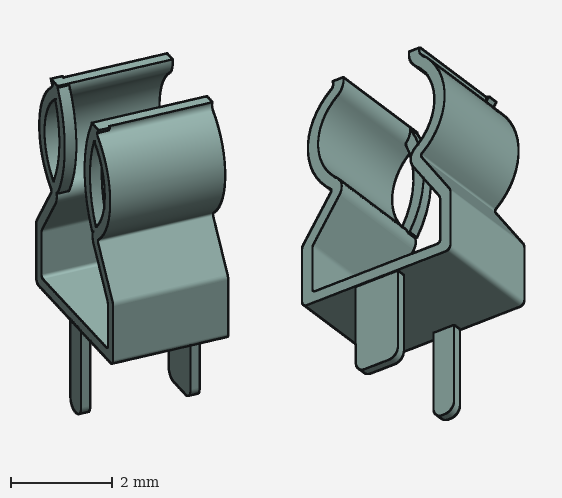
import cadquery as cq
import math

width = 3.6
depth = 2.5
top_z = 5.0
sheet = 0.25
shoulder_z = 1.4
lean = math.radians(34.4)
base_outer_radius = 0.12
base_inner_radius = 0.07
shoulder_radius = 0.175

spring_x = 0.18
spring_z = 3.655
spring_radius = 1.48
waist_radius = 0.055
lip_radius = 0.15
lip_x = 1.19

rib_radius = 2.33
rib_z = 3.765
rib_half_gap = 0.46
rib_bottom_z = 2.55

pin_length = 7 - top_z
pin_thickness = 0.2
pin_inset = 0.02
pin_corner_radius = 0.225
front_pin_width = 0.505
back_pin_width = 1.02

half_width = width / 2
front_y = -depth / 2
spring_center = (spring_x, spring_z)


def polar(center, radius, angle):
    return (center[0] + radius * math.cos(angle), center[1] + radius * math.sin(angle))


def direction(start, end):
    return math.atan2(end[1] - start[1], end[0] - start[0])


def height_on_arc(center, radius, x):
    return math.sqrt(radius**2 - (x - center[0]) ** 2)


def extrude_back(sketch, start_y, length):
    """Extrude an XZ outline toward +Y from start_y."""
    return sketch.extrude(-length).translate((0, start_y, 0))


lip_center = (lip_x, spring_z + height_on_arc(spring_center, spring_radius + lip_radius, lip_x))

normal_x, normal_z = math.cos(lean), math.sin(lean)
offset = (half_width - spring_x) * normal_x + (shoulder_z - spring_z) * normal_z + waist_radius
along = math.sqrt((spring_radius + waist_radius) ** 2 - offset**2)
waist_center = (
    spring_x + offset * normal_x + along * normal_z,
    spring_z + offset * normal_z - along * normal_x,
)
waist_start = math.pi + lean
waist_end = direction(waist_center, spring_center)
spring_start = direction(spring_center, waist_center)
spring_end = direction(spring_center, lip_center)
lip_start = direction(lip_center, spring_center) % (2 * math.pi)


def jaw_arcs(inward):
    """End and middle points, bottom to top, of one face of the jaw; inward is its sheet offset."""
    waist = waist_radius + inward
    spring = spring_radius - inward
    lip = lip_radius + inward
    lip_end = math.pi - math.asin((top_z - lip_center[1]) / lip)
    return [
        polar(waist_center, waist, waist_start),
        polar(waist_center, waist, (waist_start + waist_end % (2 * math.pi)) / 2),
        polar(waist_center, waist, waist_end),
        polar(spring_center, spring, (spring_start + spring_end) / 2),
        polar(spring_center, spring, spring_end),
        polar(lip_center, lip, (lip_start + lip_end) / 2),
        polar(lip_center, lip, lip_end),
    ]


def make_strip():
    """Right half of the bent sheet, from the middle of the base to the lip."""
    inner_x = half_width - sheet
    inner_shoulder_z = shoulder_z - sheet * math.tan(lean / 2)
    outer = jaw_arcs(0)
    inner = jaw_arcs(sheet)[::-1]
    sketch = cq.Workplane("XZ").moveTo(0, 0).lineTo(half_width, 0).lineTo(half_width, shoulder_z)
    for face in (outer, inner):
        sketch = sketch.lineTo(*face[0])
        for i in range(1, len(face), 2):
            sketch = sketch.threePointArc(face[i], face[i + 1])
    sketch = sketch.lineTo(inner_x, inner_shoulder_z).lineTo(inner_x, sheet).lineTo(0, sheet).close()
    strip = extrude_back(sketch, front_y, depth)
    bends = [
        (half_width, 0, base_outer_radius),
        (inner_x, sheet, base_inner_radius),
        (half_width, shoulder_z, shoulder_radius),
        (inner_x, inner_shoulder_z, shoulder_radius),
    ]
    for x, z, radius in bends:
        strip = strip.edges("|Y").edges(cq.selectors.NearestToPointSelector((x, 0, z))).fillet(radius)
    return strip


def make_rib():
    """Right-hand front rib: a curved band joining the waist to the lip."""
    center = (rib_half_gap + rib_radius, rib_z)
    back_radius = rib_radius - sheet

    def band_point(radius, z):
        return (center[0] - math.sqrt(radius**2 - (z - rib_z) ** 2), z)

    sketch = (
        cq.Workplane("XZ")
        .moveTo(*band_point(rib_radius, rib_bottom_z))
        .threePointArc(band_point(rib_radius, rib_z), band_point(rib_radius, top_z))
        .lineTo(*band_point(back_radius, top_z))
        .threePointArc(band_point(back_radius, rib_z), band_point(back_radius, rib_bottom_z))
        .close()
    )
    return extrude_back(sketch, front_y, sheet)


def make_pin(pin_width, start_y):
    """Flat pin with rounded lower corners, reaching into the base sheet."""
    return (
        cq.Workplane("XY")
        .box(pin_width, pin_thickness, pin_length + sheet / 2, centered=(True, False, False))
        .translate((0, start_y, -pin_length))
        .edges("|Y and <Z")
        .fillet(pin_corner_radius)
    )


half_clip = make_strip().union(make_rib())
clip = half_clip.union(half_clip.mirror("YZ"))
front_pin = make_pin(front_pin_width, front_y + pin_inset)
back_pin = make_pin(back_pin_width, -front_y - pin_inset - pin_thickness)
result = clip.union(front_pin).union(back_pin)